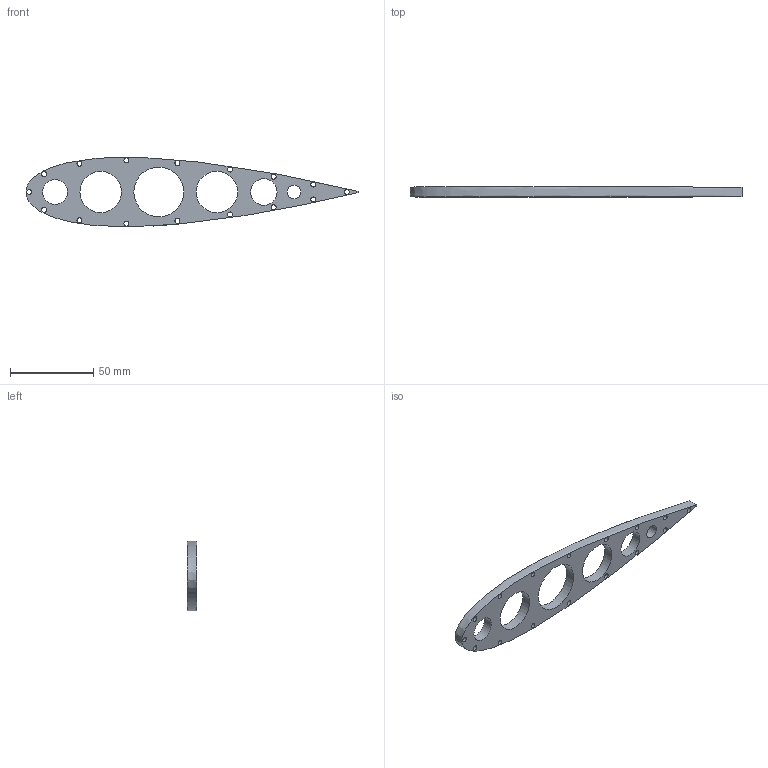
import cadquery as cq
import math

chord = 200.0
rib_thickness = 6.0
thickness_ratio = 0.21
profile_steps_per_side = 40

section_scale = 5.0
section_terms = [(0.2969, 0.5), (-0.1260, 1), (-0.3516, 2), (0.2843, 3), (-0.1015, 4)]

lightening_holes = [
    (17.5, 15.0),
    (45.0, 25.0),
    (80.0, 30.0),
    (115.0, 25.0),
    (143.25, 16.0),
    (161.4, 8.04),
]

pin_hole_diameter = 3.0
pin_hole_inset = 2.0
pin_stations = [10.0, 31.9, 60.5, 91.4, 123.2, 149.5, 173.5]
nose_pin_x = pin_hole_inset
tail_pin_x = 193.25


def half_thickness(x):
    """Half thickness of the section at x, leaving a thin blunt trailing edge."""
    t = x / chord
    shape = sum(factor * t**power for factor, power in section_terms)
    return section_scale * thickness_ratio * chord * shape


def half_thickness_slope(x):
    """Slope of the upper outline at x, away from the nose."""
    t = x / chord
    shape = sum(factor * power * t ** (power - 1) for factor, power in section_terms)
    return section_scale * thickness_ratio * shape


def inset_point(x):
    """Point lying pin_hole_inset inside the upper outline, square to it at x."""
    slope = half_thickness_slope(x)
    length = math.hypot(1.0, slope)
    return (
        x + pin_hole_inset * slope / length,
        half_thickness(x) - pin_hole_inset / length,
    )


def airfoil_blank():
    """Solid rib, running from Y = 0 to Y = rib_thickness."""
    steps = profile_steps_per_side
    stations = [chord * (1.0 - math.cos(math.pi * i / steps)) / 2.0 for i in range(1, steps)]
    upper = [(x, half_thickness(x)) for x in reversed(stations)]
    lower = [(x, -half_thickness(x)) for x in stations]
    tail_top = (chord, half_thickness(chord))
    tail_bottom = (chord, -half_thickness(chord))
    nose = (0.0, 0.0)
    outline = cq.Workplane("XZ").spline([tail_top] + upper + [nose] + lower + [tail_bottom])
    return outline.close().extrude(-rib_thickness)


def through_holes(centers, diameter):
    """Cylinders running through the rib at the given (x, z) centres."""
    return cq.Workplane("XZ").pushPoints(centers).circle(diameter / 2.0).extrude(-rib_thickness)


def pin_hole_centers():
    """Nose and tail pins on the chord line, and mirrored pairs along the outline."""
    centers = [(nose_pin_x, 0.0), (tail_pin_x, 0.0)]
    for station in pin_stations:
        x, z = inset_point(station)
        centers += [(x, z), (x, -z)]
    return centers


result = airfoil_blank()
for hole_x, hole_diameter in lightening_holes:
    result = result.cut(through_holes([(hole_x, 0.0)], hole_diameter))
result = result.cut(through_holes(pin_hole_centers(), pin_hole_diameter))